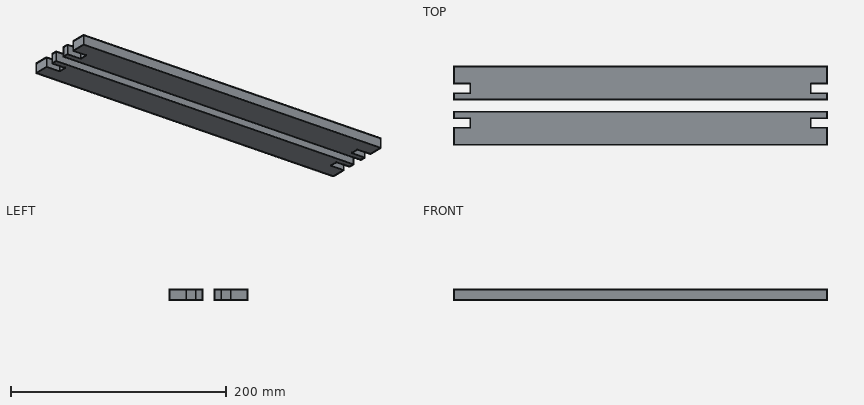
import cadquery as cq

length = 346.0
overall_width = 72.5
thickness = 10.0
gap = 11.0

slot_depth = 15.2
slot_width = 8.5
lip_width = 6.2

bar_width = (overall_width - gap) / 2
bar_offset = (gap + bar_width) / 2
slot_offset = (gap + slot_width) / 2 + lip_width
slot_end_offset = (length - slot_depth) / 2


def make_slotted_bar(side):
    """Bar on the +Y (side = 1) or -Y (side = -1) side of the gap."""
    bar = cq.Workplane("XY").center(0, side * bar_offset).box(length, bar_width, thickness)
    end_slots = (
        cq.Workplane("XY")
        .pushPoints([(end * slot_end_offset, side * slot_offset) for end in (-1, 1)])
        .box(slot_depth, slot_width, thickness)
    )
    return bar.cut(end_slots)


slotted_bars = [make_slotted_bar(side) for side in (-1, 1)]

result = cq.Compound.makeCompound([bar.val() for bar in slotted_bars])